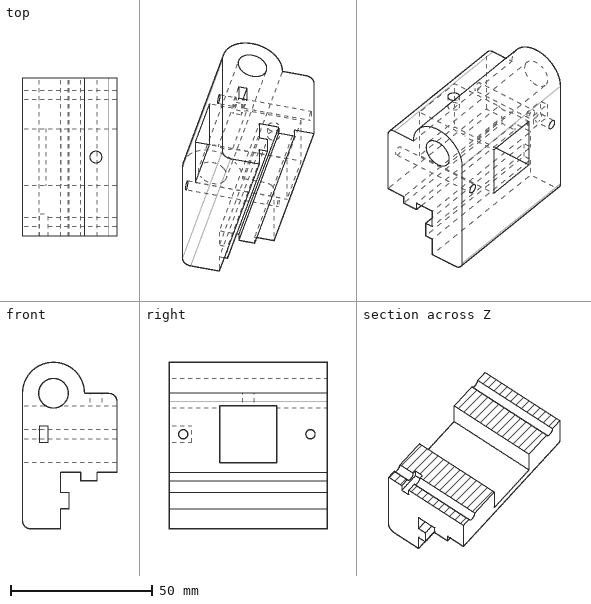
import cadquery as cq

length = 56.0
rail_size = 20.0
wall_thickness = 13.5
body_width = wall_thickness + rail_size
corner_radius = 3.0

sleeve_radius = 11.0
bore_diameter = 10.4
sleeve_x = sleeve_radius
sleeve_z = 48.0

key_width = 5.8
key_height = 3.0

window_size = 20.0
window_z = 33.5
screw_diameter = 3.2
screw_positions_y = (-23.0, 22.0)

nut_thickness = 3.0
nut_width = 5.7
nut_slot_x = 6.0
nut_slot_depth = length / 2 + screw_positions_y[0] + nut_width / 2

top_hole_diameter = 4.2
top_hole_x = 26.0


def make_body():
    """Wall, sleeve and block, with the rail notch at the lower +X corner."""
    outline = (
        cq.Workplane("XZ", origin=(0, length / 2, 0))
        .moveTo(0, 0)
        .lineTo(wall_thickness, 0)
        .lineTo(wall_thickness, rail_size)
        .lineTo(body_width, rail_size)
        .lineTo(body_width, sleeve_z)
        .lineTo(2 * sleeve_radius, sleeve_z)
        .threePointArc((sleeve_x, sleeve_z + sleeve_radius), (0, sleeve_z))
        .close()
    )
    body = outline.extrude(length)
    bottom_corner = cq.selectors.NearestToPointSelector((0, 0, 0))
    top_corner = cq.selectors.NearestToPointSelector((body_width, 0, sleeve_z))
    body = body.edges(bottom_corner).fillet(corner_radius)
    return body.edges(top_corner).fillet(corner_radius)


def make_keys():
    """One key on each face of the rail notch."""
    side_key = cq.Workplane("XY").box(key_height, length, key_width)
    side_key = side_key.translate((wall_thickness + key_height / 2, 0, rail_size / 2))
    upper_key = cq.Workplane("XY").box(key_width, length, key_height)
    upper_key = upper_key.translate((wall_thickness + rail_size / 2, 0, rail_size - key_height / 2))
    return side_key, upper_key


def make_bore():
    bore = cq.Workplane("XZ", origin=(sleeve_x, length / 2, sleeve_z))
    return bore.circle(bore_diameter / 2).extrude(length)


def make_window():
    window = cq.Workplane("YZ", origin=(0, 0, window_z))
    return window.rect(window_size, window_size).extrude(body_width)


def make_screw_hole(y):
    hole = cq.Workplane("YZ", origin=(0, y, window_z))
    return hole.circle(screw_diameter / 2).extrude(body_width)


def make_nut_slot():
    slot = cq.Workplane("XY").box(nut_thickness, nut_slot_depth, nut_width)
    return slot.translate((nut_slot_x + nut_thickness / 2, (nut_slot_depth - length) / 2, window_z))


def make_top_hole():
    hole = cq.Workplane("XY", origin=(top_hole_x, 0, window_z))
    return hole.circle(top_hole_diameter / 2).extrude(sleeve_z - window_z)


result = make_body()
for key in make_keys():
    result = result.union(key)
result = result.cut(make_bore())
result = result.cut(make_window())
for screw_y in screw_positions_y:
    result = result.cut(make_screw_hole(screw_y))
result = result.cut(make_nut_slot())
result = result.cut(make_top_hole())